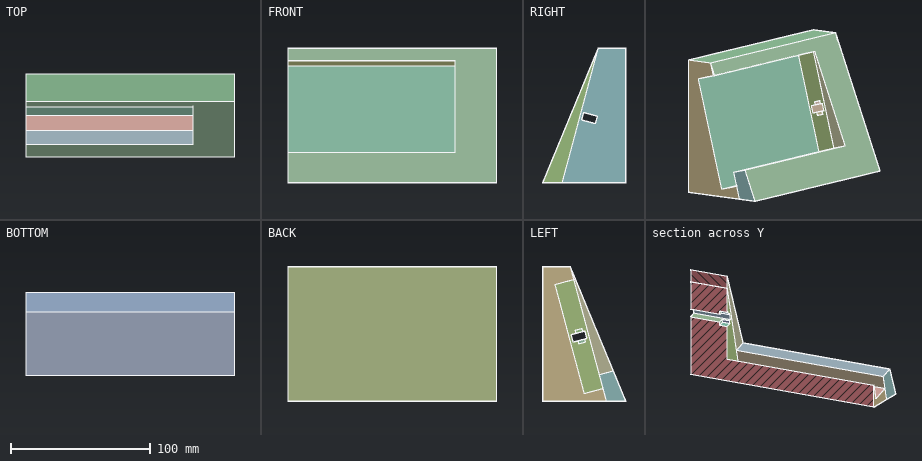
import cadquery as cq
import math

LENGTH = 150.0
BASE_DEPTH = 59.8
TOP_DEPTH = 20.0
TILT = math.radians(15)
SLOPE_LENGTH = 100.0
HEIGHT = SLOPE_LENGTH * math.cos(TILT)
JOINT_FOOT_DEPTH = TOP_DEPTH + SLOPE_LENGTH * math.sin(TILT)

POCKET_LENGTH = 120.0
POCKET_WIDTH = 81.0
POCKET_DEPTH = 14.0
SLOPE_MIDDLE = SLOPE_LENGTH / 2
POCKET_START = SLOPE_MIDDLE - POCKET_WIDTH / 2
WINDOW_END = 80.2

SLOT_WIDTH = 5.4
SLOT_DEPTH = 10.0
SLOT_CENTER_DEPTH = POCKET_DEPTH / 2
NOTCH_SPAN = 10.0
NOTCH_DEPTH = 5.0
NOTCH_CENTER_DEPTH = 6.0
NOTCH_LENGTH = 6.0


def prism(points):
    """Extrude a (Y, Z) outline over the full length along X."""
    return cq.Workplane("YZ").polyline(points).close().extrude(LENGTH)


def sloped_box(x_start, length, slope_start, width, front, depth):
    """Box aligned with the joint plane.

    slope_start runs down the plane from its top edge; front is the distance
    behind the plane at which the box starts (negative is in front of it).
    """
    box = cq.Workplane("XY").box(length, depth, width, centered=False)
    box = box.translate((x_start, front, -slope_start - width))
    box = box.rotate((0, 0, 0), (1, 0, 0), -math.degrees(TILT))
    return box.translate((0, BASE_DEPTH - TOP_DEPTH, HEIGHT))


def make_stand():
    """Rear block with the device pocket and the cable slot."""
    stand = prism([
        (BASE_DEPTH, 0),
        (BASE_DEPTH, HEIGHT),
        (BASE_DEPTH - TOP_DEPTH, HEIGHT),
        (BASE_DEPTH - JOINT_FOOT_DEPTH, 0),
    ])
    pocket = sloped_box(0, POCKET_LENGTH, POCKET_START, POCKET_WIDTH, 0, POCKET_DEPTH)
    slot = sloped_box(
        POCKET_LENGTH, LENGTH - POCKET_LENGTH,
        SLOPE_MIDDLE - SLOT_WIDTH / 2, SLOT_WIDTH,
        SLOT_CENTER_DEPTH - SLOT_DEPTH / 2, SLOT_DEPTH,
    )
    notch = sloped_box(
        POCKET_LENGTH, NOTCH_LENGTH,
        SLOPE_MIDDLE - NOTCH_SPAN / 2, NOTCH_SPAN,
        NOTCH_CENTER_DEPTH - NOTCH_DEPTH / 2, NOTCH_DEPTH,
    )
    return stand.cut(pocket).cut(slot).cut(notch)


def make_cover():
    """Front wedge lying on the joint plane, with a window over the pocket."""
    cover = prism([
        (0, 0),
        (BASE_DEPTH - JOINT_FOOT_DEPTH, 0),
        (BASE_DEPTH - TOP_DEPTH, HEIGHT),
    ])
    window = sloped_box(
        0, POCKET_LENGTH, POCKET_START, WINDOW_END - POCKET_START, -BASE_DEPTH, BASE_DEPTH,
    )
    return cover.cut(window)


stand = make_stand()
cover = make_cover()

result = cq.Compound.makeCompound([*stand.solids().vals(), *cover.solids().vals()])